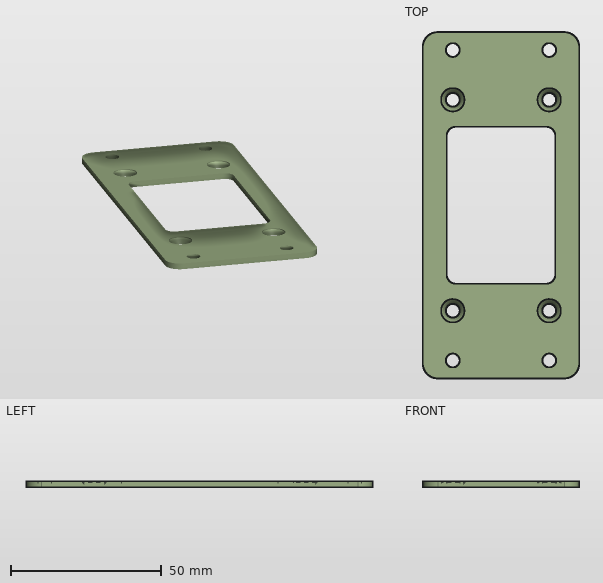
import cadquery as cq
import math

PLATE_WIDTH = 52.0
PLATE_LENGTH = 115.0
PLATE_THICKNESS = 2.0
PLATE_CORNER_RADIUS = 5.0

WINDOW_WIDTH = 36.0
WINDOW_LENGTH = 52.0
WINDOW_CORNER_RADIUS = 3.0

HOLE_DIAMETER = 4.5
HOLE_SPACING_X = 32.0
PLAIN_HOLE_SPACING_Y = 103.0
COUNTERSUNK_HOLE_SPACING_Y = 70.0

HEAD_DIAMETER = 7.8
COUNTERSINK_ANGLE = 90.0
CONE_HEIGHT = (HEAD_DIAMETER - HOLE_DIAMETER) / 2 / math.tan(math.radians(COUNTERSINK_ANGLE / 2))


def rounded_slab(width, length, corner_radius):
    """Slab of plate thickness with rounded vertical edges."""
    slab = cq.Workplane("XY").box(width, length, PLATE_THICKNESS, centered=(True, True, False))
    return slab.edges("|Z").fillet(corner_radius)


def plain_hole_cutter():
    """Straight cylinder through the plate."""
    return cq.Workplane("XY").circle(HOLE_DIAMETER / 2).extrude(PLATE_THICKNESS)


def countersunk_hole_cutter():
    """Revolved cone and head recess through the plate."""
    hole_radius = HOLE_DIAMETER / 2
    head_radius = HEAD_DIAMETER / 2
    profile = (
        cq.Workplane("XZ")
        .lineTo(hole_radius, 0)
        .lineTo(head_radius, CONE_HEIGHT)
        .lineTo(head_radius, PLATE_THICKNESS)
        .lineTo(0, PLATE_THICKNESS)
        .close()
    )
    return profile.revolve(360, (0, 0, 0), (0, 1, 0))


def cut_hole_rectangle(body, cutter, spacing_y):
    """Cut the body at the four corners of a centred hole rectangle."""
    for side_x in (-1, 1):
        for side_y in (-1, 1):
            position = (side_x * HOLE_SPACING_X / 2, side_y * spacing_y / 2, 0)
            body = body.cut(cutter.translate(position))
    return body


plate = rounded_slab(PLATE_WIDTH, PLATE_LENGTH, PLATE_CORNER_RADIUS)
window = rounded_slab(WINDOW_WIDTH, WINDOW_LENGTH, WINDOW_CORNER_RADIUS)
plate = plate.cut(window)
plate = cut_hole_rectangle(plate, plain_hole_cutter(), PLAIN_HOLE_SPACING_Y)
plate = cut_hole_rectangle(plate, countersunk_hole_cutter(), COUNTERSUNK_HOLE_SPACING_Y)

result = plate